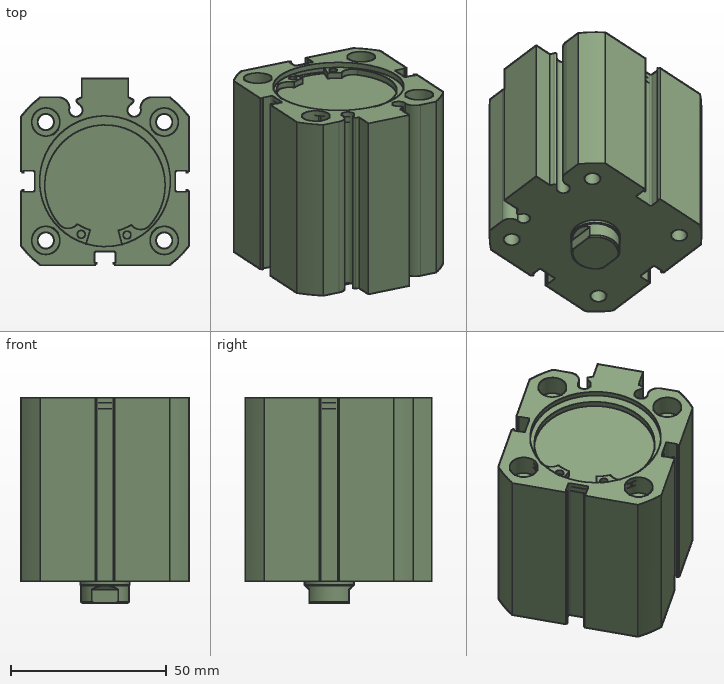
import cadquery as cq
import math

body_width = 54.0
body_height = 59.0
corner_radius = 34.05
rib_width = 15.05
rib_height = 6.0
half_width = body_width / 2
half_rib = rib_width / 2

slot_mouth = 5.4
slot_width = 6.6
slot_depth = 4.4
slot_lip = 0.85
slot_round = 0.45

groove_x = 9.4
groove_y = 22.85
groove_radius = 2.1
mouth_round = 3.6
mouth_outer_x = 11.35
lip_top = (8.7, 26.4)
lip_tip = (9.2, 25.9)
lip_bottom = (9.0, 25.3)
lip_root = (8.1, 24.4)

hole_spacing = 38.0
hole_diameter = 5.15
counterbore_diameter = 9.05
counterbore_depth = 7.0

bore_radius = 21.0
ring_depth = 1.7
ring_thickness = 1.9
ring_groove_radius = 22.4
cap_thickness = 7.0
ring_bottom = body_height - ring_depth - ring_thickness
cap_bottom = ring_bottom - cap_thickness

ring_inner_radius = 19.35
ring_inner_y = -1.25
ring_clocking = -0.9
lug_radius = 16.4
lug_gap_angle = 16.0
lug_back_angle = 32.0
lug_blend_angle = 48.3
scallop_radius = 3.55
scallop_low_angle = 10.0
eye_angle = 23.2
eye_radius = 18.7
eye_diameter = 2.5

rod_diameter = 16.0
rod_tip_diameter = 15.45
rod_shoulder = 1.4
rod_extension = 7.0
rod_end_chamfer = 0.45
flat_distance = 12.9
flat_start = 2.65


def polar(radius, angle, center_y=0.0):
    """Point at an angle in degrees from the -Y direction, turning towards +X."""
    turn = math.radians(angle)
    return (radius * math.sin(turn), center_y - radius * math.cos(turn))


def make_block():
    square = cq.Workplane("XY").rect(body_width, body_width).extrude(body_height)
    round_limit = cq.Workplane("XY").circle(corner_radius).extrude(body_height)
    rib = (
        cq.Workplane("XY")
        .center(0, (half_width + rib_height) / 2)
        .rect(rib_width, half_width + rib_height)
        .extrude(body_height)
    )
    return square.intersect(round_limit).union(rib)


def make_t_slot():
    """T-slot cutter for the -Y side, drawn as its +X half and mirrored."""
    half_mouth = slot_mouth / 2
    half_slot = slot_width / 2
    face = -half_width
    floor = face + slot_depth
    return (
        cq.Workplane("XY")
        .moveTo(0, face)
        .lineTo(half_mouth + slot_round, face)
        .radiusArc((half_mouth, face + slot_round), -slot_round)
        .lineTo(half_mouth, face + slot_lip)
        .lineTo(half_slot, face + slot_lip)
        .lineTo(half_slot, floor - slot_round)
        .radiusArc((half_slot - slot_round, floor), -slot_round)
        .lineTo(0, floor)
        .mirrorY()
        .extrude(body_height)
    )


def make_sensor_groove():
    """Sensor groove cutter for the +X side of the rib."""
    channel = cq.Workplane("XY").center(groove_x, groove_y).circle(groove_radius).extrude(body_height)
    round_x = mouth_outer_x + mouth_round
    round_y = half_width - mouth_round
    round_offset = mouth_round * math.sqrt(0.5)
    mouth = (
        cq.Workplane("XY")
        .moveTo(round_x, half_width)
        .threePointArc((round_x - round_offset, round_y + round_offset), (mouth_outer_x, round_y))
        .lineTo(*lip_root)
        .lineTo(*lip_bottom)
        .threePointArc(lip_tip, lip_top)
        .lineTo(half_rib, half_width)
        .close()
        .extrude(body_height)
    )
    return channel.union(mouth)


def make_housing():
    block = make_block()
    t_slot = make_t_slot()
    for angle in (-90, 0, 90):
        block = block.cut(t_slot.rotate((0, 0, 0), (0, 0, 1), angle))

    sensor_groove = make_sensor_groove()
    block = block.cut(sensor_groove).cut(sensor_groove.mirror("YZ"))

    block = (
        block.faces(">Z").workplane(origin=(0, 0, body_height))
        .rect(hole_spacing, hole_spacing, forConstruction=True)
        .vertices()
        .cboreHole(hole_diameter, counterbore_diameter, counterbore_depth)
    )

    bore = cq.Workplane("XY", origin=(0, 0, cap_bottom)).circle(bore_radius).extrude(body_height - cap_bottom)
    ring_groove = cq.Workplane("XY", origin=(0, 0, ring_bottom)).circle(ring_groove_radius).extrude(ring_thickness)
    rod_hole = cq.Workplane("XY").circle(rod_diameter / 2).extrude(cap_bottom)
    return block.cut(bore).cut(ring_groove).cut(rod_hole)


def make_end_cap():
    return cq.Workplane("XY", origin=(0, 0, cap_bottom)).circle(bore_radius).extrude(cap_thickness)


def lug_points(side):
    """Outline points of one lug, from the ring's inner edge out to its rim; side is -1 or 1."""
    reach = ring_inner_radius - scallop_radius
    scallop_x, scallop_y = polar(reach, side * lug_blend_angle, ring_inner_y)
    low_x, low_y = polar(scallop_radius, side * scallop_low_angle, scallop_y)
    return [
        polar(ring_inner_radius, side * lug_blend_angle, ring_inner_y),
        (scallop_x + low_x, low_y),
        polar(lug_radius, side * lug_back_angle),
        polar(lug_radius, side * (lug_gap_angle + lug_back_angle) / 2),
        polar(lug_radius, side * lug_gap_angle),
        polar(ring_groove_radius, side * lug_gap_angle),
    ]


def make_retaining_ring():
    left_blend, left_scallop, left_back, left_mid, left_gap, left_rim = lug_points(-1)
    right_blend, right_scallop, right_back, right_mid, right_gap, right_rim = lug_points(1)
    ring = (
        cq.Workplane("XY", origin=(0, 0, ring_bottom))
        .moveTo(*left_rim)
        .lineTo(*left_gap)
        .threePointArc(left_mid, left_back)
        .threePointArc(left_scallop, left_blend)
        .threePointArc((0, ring_inner_y + ring_inner_radius), right_blend)
        .threePointArc(right_scallop, right_back)
        .threePointArc(right_mid, right_gap)
        .lineTo(*right_rim)
        .threePointArc((0, ring_groove_radius), left_rim)
        .close()
        .extrude(ring_thickness)
    )
    eyes = (
        cq.Workplane("XY", origin=(0, 0, ring_bottom))
        .pushPoints([polar(eye_radius, -eye_angle), polar(eye_radius, eye_angle)])
        .circle(eye_diameter / 2)
        .extrude(ring_thickness)
    )
    return ring.cut(eyes).rotate((0, 0, 0), (0, 0, 1), ring_clocking)


def make_rod():
    rod_radius = rod_diameter / 2
    tip_radius = rod_tip_diameter / 2
    shoulder_chamfer = rod_radius - tip_radius
    rod = (
        cq.Workplane("XZ")
        .moveTo(0, cap_bottom)
        .lineTo(rod_radius, cap_bottom)
        .lineTo(rod_radius, -rod_shoulder + shoulder_chamfer)
        .lineTo(tip_radius, -rod_shoulder)
        .lineTo(tip_radius, -rod_extension + rod_end_chamfer)
        .lineTo(tip_radius - rod_end_chamfer, -rod_extension)
        .lineTo(0, -rod_extension)
        .close()
        .revolve(360, (0, 0, 0), (0, 1, 0))
    )

    half_flat = flat_distance / 2
    runout = tip_radius - half_flat
    flat = (
        cq.Workplane("YZ")
        .moveTo(half_flat, -rod_extension)
        .lineTo(half_flat, -flat_start)
        .lineTo(tip_radius, -flat_start + runout)
        .lineTo(tip_radius, -rod_extension)
        .close()
        .extrude(rod_radius, both=True)
    )
    return rod.cut(flat).cut(flat.mirror("XZ"))


housing = make_housing().solids()
end_cap = make_end_cap().solids()
retaining_ring = make_retaining_ring().solids()
rod = make_rod().solids()

result = cq.Compound.makeCompound([housing.val(), end_cap.val(), retaining_ring.val(), rod.val()])